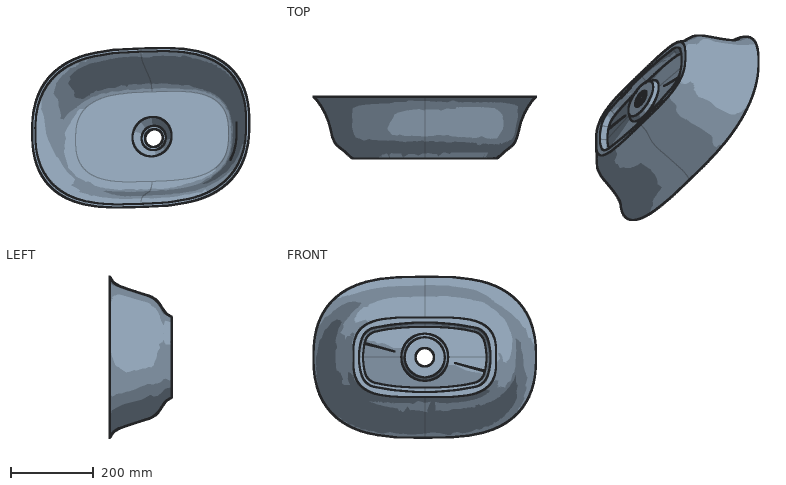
import cadquery as cq
import math

rim_height = 150.0
shoulder_height = 42.0
rim_half_length = 269.5
rim_half_width = 195.0
foot_half_length = 173.0
foot_half_width = 96.5

foot_exponents = (3.9, 3.1)
rim_exponents = (3.0, 2.4)

outer_sections = [
    (0.0, foot_half_length, foot_half_width),
    (8.0, 183.3, 102.0),
    (21.0, 198.5, 115.0),
    (33.0, 213.5, 134.0),
    (shoulder_height, 219.5, 142.0),
    (73.0, 228.5, 154.0),
    (112.0, 242.5, 167.0),
    (132.0, 254.0, 175.0),
    (144.0, 262.8, 184.5),
    (rim_height, rim_half_length, rim_half_width),
]

wall = 8.0

recess_half_length = 159.3
recess_half_width = 84.2
recess_side_radius = 600.0
recess_end_radius = 145.0
recess_corner_radius = 41.0
recess_depth = 16.5
recess_fillet = 14.0

ceiling_edge = (160.0, 76.0)
ceiling_edge_exponents = (3.4, 4.7)
ceiling_edge_depth = 16.6
ceiling_middle = (52.0, 44.0)
ceiling_middle_exponents = (2.0, 2.0)
ceiling_middle_depth = 10.0

boss_base_radius = 57.0
boss_face_radius = 48.5
boss_base_depth = 10.5
drain_radius = 22.0
drain_floor = 6.0
drain_dip_radius = 30.0
bowl_floor = recess_depth + wall

points_per_quarter = 9


def outline(half_length, half_width, exponents, height, start=math.pi / 2):
    """Closed rounded-rectangle wire of two curves; they meet at the angle `start` and opposite it."""
    p, q = exponents

    def point(angle):
        c, s = round(math.cos(angle), 12), round(math.sin(angle), 12)
        x = half_length * math.copysign(abs(c) ** (2 / p), c)
        z = half_width * math.copysign(abs(s) ** (2 / q), s)
        return cq.Vector(x, height, z)

    steps = 2 * points_per_quarter
    halves = []
    for first in (start, start + math.pi):
        points = [point(first + math.pi * i / steps) for i in range(steps + 1)]
        heading = cq.Vector(-math.sin(first), 0, math.cos(first))
        halves.append(cq.Edge.makeSpline(points, tangents=[heading, -heading]))
    return cq.Wire.assembleEdges(halves)


def wall_exponents(height):
    share = min(height / shoulder_height, 1.0)
    return tuple(f + share * (r - f) for f, r in zip(foot_exponents, rim_exponents))


def disc_cone(low, low_radius, high, high_radius):
    """Cone about the Y axis between two heights."""
    return cq.Workplane(
        cq.Solid.makeCone(low_radius, high_radius, high - low, cq.Vector(0, low, 0), cq.Vector(0, 1, 0))
    )


def disc(low, high, radius):
    """Cylinder about the Y axis between two heights."""
    return cq.Workplane(
        cq.Solid.makeCylinder(radius, high - low, cq.Vector(0, low, 0), cq.Vector(0, 1, 0))
    )


def body():
    return cq.Workplane(
        cq.Solid.makeLoft([outline(a, b, wall_exponents(y), y) for y, a, b in outer_sections])
    )


def bowl():
    """Hollow of the basin: the outer wall moved inwards, above a flat floor."""
    upper = [s for s in outer_sections if s[0] > bowl_floor]
    lowest = upper[0]
    floor = (bowl_floor, lowest[1] - 2 * wall, lowest[2] - 2 * wall)
    wires = [outline(a - wall, b - wall, wall_exponents(y), y) for y, a, b in [floor] + upper]
    return cq.Workplane(cq.Solid.makeLoft(wires))


def recess_outline(inset, height):
    """Wire of tangent arcs, moved inwards by `inset`; it starts at the +X end."""
    side_radius = recess_side_radius - inset
    end_radius = recess_end_radius - inset
    corner_radius = recess_corner_radius - inset
    side_offset = recess_side_radius - recess_half_width
    end_offset = recess_half_length - recess_end_radius

    side_reach = side_radius - corner_radius
    end_reach = end_radius - corner_radius
    span = math.hypot(end_offset, side_offset)
    turn = math.acos((side_reach**2 + span**2 - end_reach**2) / (2 * side_reach * span))
    side_angle = math.atan2(side_offset, end_offset) - turn
    corner_x = side_reach * math.cos(side_angle)
    corner_z = side_reach * math.sin(side_angle) - side_offset
    end_angle = math.atan2(corner_z, corner_x - end_offset)

    def on_arc(centre_x, centre_z, radius, angle):
        return (centre_x + radius * math.cos(angle), centre_z + radius * math.sin(angle))

    end_joint = on_arc(corner_x, corner_z, corner_radius, end_angle)
    corner_middle = on_arc(corner_x, corner_z, corner_radius, (end_angle + side_angle) / 2)
    side_joint = on_arc(corner_x, corner_z, corner_radius, side_angle)
    end_middle = on_arc(end_offset, 0, end_radius, end_angle / 2)
    end_tip = (recess_half_length - inset, 0)
    side_middle = on_arc(0, -side_offset, side_radius, (side_angle + math.pi / 2) / 2)
    side_tip = (0, recess_half_width - inset)

    quarter = [end_tip, end_middle, end_joint, corner_middle, side_joint, side_middle, side_tip]
    half = quarter + [(-x, z) for x, z in reversed(quarter[:-1])]
    loop = half + [(-x, -z) for x, z in half[1:]]
    points = [cq.Vector(x, height, z) for x, z in loop]
    arcs = [cq.Edge.makeThreePointArc(*points[i:i + 3]) for i in range(0, len(points) - 2, 2)]
    return cq.Wire.assembleEdges(arcs)


def recess():
    pocket = cq.Workplane(
        cq.Solid.extrudeLinear(recess_outline(0, 0), [], cq.Vector(0, recess_depth, 0))
    )
    return pocket.faces(">Y").edges().fillet(recess_fillet)


def ceiling_mound():
    """Solid that shapes the recess ceiling; its two sloping faces meet at Z = 0."""
    edge = outline(*ceiling_edge, ceiling_edge_exponents, ceiling_edge_depth, start=0)
    middle = outline(*ceiling_middle, ceiling_middle_exponents, ceiling_middle_depth, start=0)
    return cq.Workplane(cq.Solid.makeLoft([edge, middle]))


def boss():
    flank = disc_cone(0, boss_face_radius, boss_base_depth, boss_base_radius)
    return flank.union(disc(boss_base_depth, recess_depth, boss_base_radius))


def drain():
    hole = disc(0, bowl_floor, drain_radius)
    dip = disc_cone(drain_floor, drain_dip_radius, bowl_floor, boss_face_radius)
    return hole.union(dip)


underside = recess().cut(ceiling_mound()).cut(boss())
result = body().cut(bowl()).cut(underside).cut(drain())